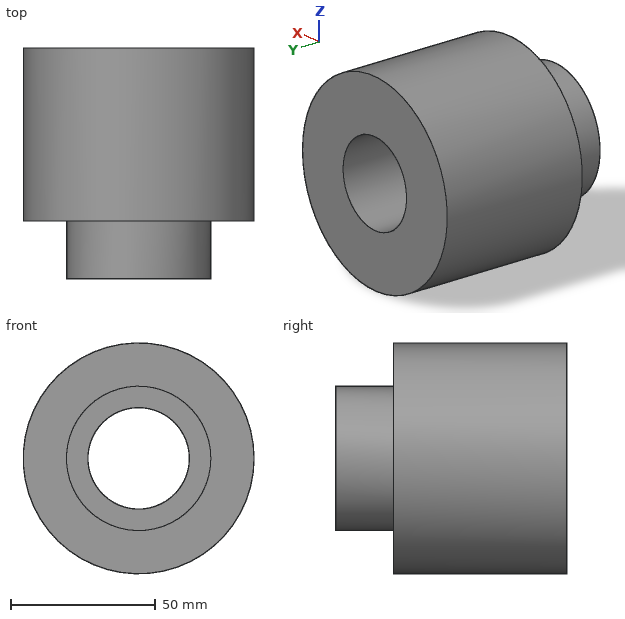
import cadquery as cq

overall_length = 80.0
body_diameter = 80.0
body_length = 60.0
spigot_diameter = 50.0
bore_diameter = 35.0

spigot_length = overall_length - body_length


def cylinder_along_y(diameter, start_y, length):
    """Cylinder on the Y axis running from start_y toward +Y."""
    return cq.Workplane("XZ", origin=(0, start_y, 0)).circle(diameter / 2).extrude(-length)


spigot = cylinder_along_y(spigot_diameter, 0, spigot_length)
body = cylinder_along_y(body_diameter, spigot_length, body_length)

bore = cylinder_along_y(bore_diameter, 0, overall_length)

result = body.union(spigot).cut(bore)